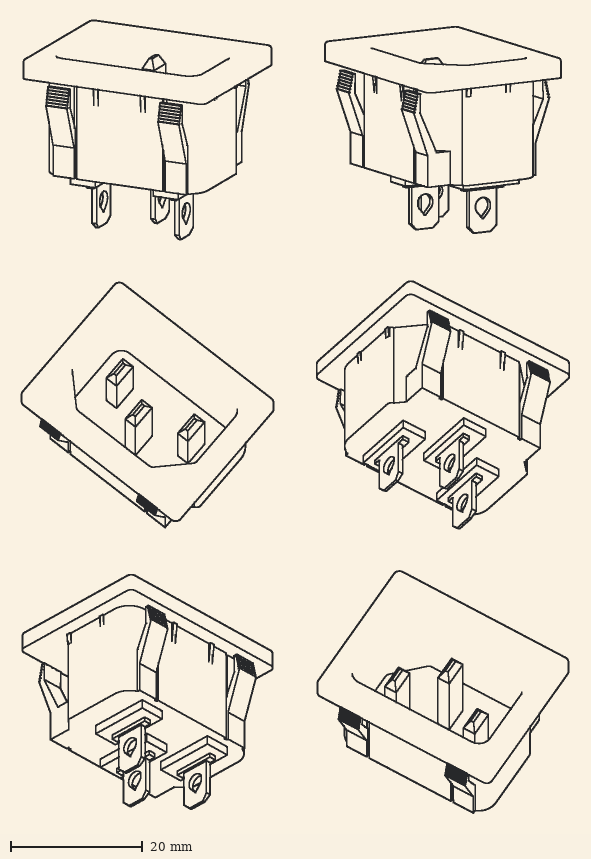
import cadquery as cq
import math


FLANGE_X = 31.0
FLANGE_Y = 24.02
FLANGE_THICKNESS = 3.0
FLANGE_CORNER_RADIUS = 1.0
FLANGE_EDGE_RADIUS = 0.5

HOUSING_DEPTH = 15.5
CORE_HALF_X = 12.7
CORE_HALF_Y = 9.27
CORE_CHAMFER = 5.08
WING_INNER_X = 7.85
WING_OUTER_X = 13.27
WING_FRONT_Y = -9.35
WING_REAR_Y = 4.28
WING_FRONT_RADIUS = 3.15
WING_REAR_RADIUS = 0.85
PAD_HALF_X = 7.3
PAD_HALF_Y = 9.6

SOCKET_HALF_X = 12.1
SOCKET_HALF_Y = 8.1
SOCKET_CHAMFER = 4.77
SOCKET_CHAMFER_RADIUS = 1.0
SOCKET_CORNER_RADIUS = 1.98
SOCKET_RIM_RADIUS = 0.6
SOCKET_FLOOR_THICKNESS = 2.0

CONTACT_PITCH = 7.0
EARTH_TIP_Z = 1.8
LINE_TIP_Z = -1.2
CONTACTS = [
    (-CONTACT_PITCH, -1, LINE_TIP_Z),
    (0.0, 1, EARTH_TIP_Z),
    (CONTACT_PITCH, -1, LINE_TIP_Z),
]

PIN_OFFSET_X = 0.1
PIN_OFFSET_Y = 2.0
PIN_X = 2.0
PIN_Y = 4.0
PIN_TIP_X = 0.5
PIN_TIP_Y = 2.2
PIN_TIP_HEIGHT = 1.52

TERMINAL_OFFSET_Y = 3.0
BASE_X = 4.25
BASE_Y = 10.0
BASE_HEIGHT = 1.5
SHOULDER_X = 1.15
SHOULDER_Y = 7.0
SHOULDER_HEIGHT = 0.7
BLADE_X = 0.8
BLADE_Y = 4.85
BLADE_OUTER_X = 1.05
BLADE_BOTTOM_Z = -24.5
BLADE_TIP_HEIGHT = 0.95
BLADE_TIP_X = 0.4
BLADE_TIP_Y = 2.9
HOLE_RADIUS = 1.33
HOLE_CENTRE_Z = -20.4
HOLE_POINT_DROP = 1.98

CLIP_SPAN_Y = 24.2
CLIP_INNER_X = 7.72
CLIP_WIDTH = 3.55
CLIP_ROOT_Y = 5.55
CLIP_ROOT_TOP_Z = -10.3
CLIP_BEND_Z = -10.6
CLIP_HEEL_Y = 8.0
CLIP_NECK_Y = 10.97
CLIP_NECK_Z = -3.85
CLIP_TOP_INNER_Y = 10.88
CLIP_TOP_Z = -0.9
CLIP_REACH_Y = CLIP_SPAN_Y / 2
TOOTH_COUNT = 6
TOOTH_PITCH_Z = 0.45
TOOTH_STEP_Y = 0.102
TOOTH_NOTCH_Y = 0.15

RIB_WIDTH = 0.75
RIB_SLOPE = 0.11
LONG_RIB_X = 3.97
LONG_RIB_LENGTH = 3.32
SHORT_RIB_Y = 3.5
SHORT_RIB_LENGTH = 1.75

SELECTION_MARGIN = 0.15

SOCKET_FLOOR_Z = -HOUSING_DEPTH + SOCKET_FLOOR_THICKNESS


def box(size_x, size_y, bottom, top, x=0.0, y=0.0):
    """Upright box centred on (x, y) between two heights."""
    plan = cq.Workplane("XY", origin=(x, y, bottom))
    return plan.rect(size_x, size_y).extrude(top - bottom)


def socket_edge_selector(front_y, bottom, top):
    """Selector for socket edges whose centres lie behind front_y and between two heights."""
    return cq.selectors.BoxSelector(
        (-SOCKET_HALF_X - SELECTION_MARGIN, front_y - SELECTION_MARGIN, bottom - SELECTION_MARGIN),
        (SOCKET_HALF_X + SELECTION_MARGIN, SOCKET_HALF_Y + SELECTION_MARGIN, top + SELECTION_MARGIN),
    )


def make_flange():
    plate = box(FLANGE_X, FLANGE_Y, 0, FLANGE_THICKNESS)
    plate = plate.edges("|Z").fillet(FLANGE_CORNER_RADIUS)
    return plate.faces(">Z").edges().fillet(FLANGE_EDGE_RADIUS)


def make_housing():
    """Core with chamfered rear corners, side wings with rounded outer corners, raised front and rear pad."""
    core = box(2 * CORE_HALF_X, WING_REAR_Y + CORE_HALF_Y, -HOUSING_DEPTH, 0, y=(CORE_HALF_Y - WING_REAR_Y) / 2)
    core = core.edges("|Z and >Y").chamfer(CORE_CHAMFER)
    spine = box(2 * WING_INNER_X, CORE_HALF_Y, -HOUSING_DEPTH, 0, y=-CORE_HALF_Y / 2)
    wing = box(
        WING_OUTER_X - WING_INNER_X,
        WING_REAR_Y - WING_FRONT_Y,
        -HOUSING_DEPTH,
        0,
        x=(WING_OUTER_X + WING_INNER_X) / 2,
        y=(WING_REAR_Y + WING_FRONT_Y) / 2,
    )
    wing = wing.edges("|Z").edges(">X").edges("<Y").fillet(WING_FRONT_RADIUS)
    wing = wing.edges("|Z").edges(">X").edges(">Y").fillet(WING_REAR_RADIUS)
    pad = box(2 * PAD_HALF_X, 2 * PAD_HALF_Y, -HOUSING_DEPTH, 0)
    return core.union(spine).union(wing).union(wing.mirror("YZ")).union(pad)


def make_socket():
    """Cavity with two chamfered rear corners and two rounded front corners."""
    cavity = box(2 * SOCKET_HALF_X, 2 * SOCKET_HALF_Y, SOCKET_FLOOR_Z, FLANGE_THICKNESS)
    cavity = cavity.edges("|Z and >Y").chamfer(SOCKET_CHAMFER)
    cavity = cavity.edges("|Z and <Y").fillet(SOCKET_CORNER_RADIUS)
    chamfer_ends = socket_edge_selector(SOCKET_HALF_Y - SOCKET_CHAMFER, SOCKET_FLOOR_Z, FLANGE_THICKNESS)
    return cavity.edges("|Z").edges(chamfer_ends).fillet(SOCKET_CHAMFER_RADIUS)


def make_pin(x, side, tip_z):
    """Rectangular pin with a bevelled tip, rooted in the socket floor."""
    x = x + PIN_OFFSET_X
    y = side * PIN_OFFSET_Y
    shank_top = tip_z - PIN_TIP_HEIGHT
    shank = box(PIN_X, PIN_Y, -HOUSING_DEPTH, shank_top, x, y)
    tip = (
        cq.Workplane("XY", origin=(x, y, shank_top))
        .rect(PIN_X, PIN_Y)
        .workplane(offset=PIN_TIP_HEIGHT)
        .rect(PIN_TIP_X, PIN_TIP_Y)
        .loft(ruled=True)
    )
    return shank.union(tip)


def make_terminal(x, side):
    """Base block, shoulder and tapered blade with a teardrop hole."""
    y = side * TERMINAL_OFFSET_Y
    base_z = -HOUSING_DEPTH - BASE_HEIGHT
    shoulder_z = base_z - SHOULDER_HEIGHT
    tip_z = BLADE_BOTTOM_Z + BLADE_TIP_HEIGHT
    shoulder_x = x + BLADE_OUTER_X - SHOULDER_X / 2
    blade_x = x + BLADE_OUTER_X - BLADE_X / 2

    base = box(BASE_X, BASE_Y, base_z, -HOUSING_DEPTH, x, y)
    shoulder = box(SHOULDER_X, SHOULDER_Y, shoulder_z, base_z, shoulder_x, y)
    blade = box(BLADE_X, BLADE_Y, tip_z, shoulder_z, blade_x, y)
    tip = (
        cq.Workplane("XY", origin=(blade_x, y, BLADE_BOTTOM_Z))
        .rect(BLADE_TIP_X, BLADE_TIP_Y)
        .workplane(offset=BLADE_TIP_HEIGHT)
        .rect(BLADE_X, BLADE_Y)
        .loft(ruled=True)
    )

    tangent_z = -HOLE_RADIUS**2 / HOLE_POINT_DROP
    tangent_y = math.sqrt(HOLE_RADIUS**2 - tangent_z**2)
    hole = (
        cq.Workplane("YZ", origin=(blade_x, y, HOLE_CENTRE_Z))
        .moveTo(-tangent_y, tangent_z)
        .threePointArc((0, HOLE_RADIUS), (tangent_y, tangent_z))
        .lineTo(0, -HOLE_POINT_DROP)
        .close()
        .extrude(BLADE_X, both=True)
    )
    return base.union(shoulder).union(blade).union(tip).cut(hole)


def make_clip():
    """Springy arm on the +X, +Y corner with a saw-toothed grip at its free end."""
    outline = [
        (CLIP_ROOT_Y, -HOUSING_DEPTH),
        (CLIP_ROOT_Y, CLIP_ROOT_TOP_Z),
        (CLIP_HEEL_Y, CLIP_ROOT_TOP_Z),
        (CLIP_NECK_Y, CLIP_NECK_Z),
        (CLIP_TOP_INNER_Y, CLIP_TOP_Z),
    ]
    for i in range(TOOTH_COUNT):
        tooth_y = CLIP_REACH_Y - (TOOTH_COUNT - i) * TOOTH_STEP_Y
        tooth_z = CLIP_TOP_Z - i * TOOTH_PITCH_Z
        outline.append((tooth_y, tooth_z))
        outline.append((tooth_y - TOOTH_NOTCH_Y, tooth_z - TOOTH_PITCH_Z))
    outline.append((CLIP_REACH_Y, CLIP_TOP_Z - TOOTH_COUNT * TOOTH_PITCH_Z))
    outline.append((PAD_HALF_Y, CLIP_BEND_Z))
    outline.append((PAD_HALF_Y, -HOUSING_DEPTH))
    plane = cq.Workplane("YZ", origin=(CLIP_INNER_X, 0, 0))
    return plane.polyline(outline).close().extrude(CLIP_WIDTH)


def make_rib(plane, origin, wall, length):
    """Wedge on a wall at the given distance, deepest under the flange and fading out downwards."""
    return (
        cq.Workplane(plane, origin=origin)
        .polyline([(0, 0), (wall + length * RIB_SLOPE, 0), (wall, -length), (0, -length)])
        .close()
        .extrude(RIB_WIDTH / 2, both=True)
    )


def in_all_quadrants(body):
    pair = body.union(body.mirror("YZ"))
    return pair.union(pair.mirror("XZ"))


long_rib = make_rib("YZ", (LONG_RIB_X, 0, 0), PAD_HALF_Y, LONG_RIB_LENGTH)
short_rib = make_rib("XZ", (0, SHORT_RIB_Y, 0), WING_OUTER_X, SHORT_RIB_LENGTH)

body = make_flange().union(make_housing())
for quadrant_feature in (long_rib, short_rib, make_clip()):
    body = body.union(in_all_quadrants(quadrant_feature))

body = body.cut(make_socket())
rim = socket_edge_selector(-SOCKET_HALF_Y, FLANGE_THICKNESS, FLANGE_THICKNESS)
body = body.edges(rim).fillet(SOCKET_RIM_RADIUS)

for contact_x, contact_side, contact_tip_z in CONTACTS:
    body = body.union(make_pin(contact_x, contact_side, contact_tip_z))
    body = body.union(make_terminal(contact_x, contact_side))

result = body